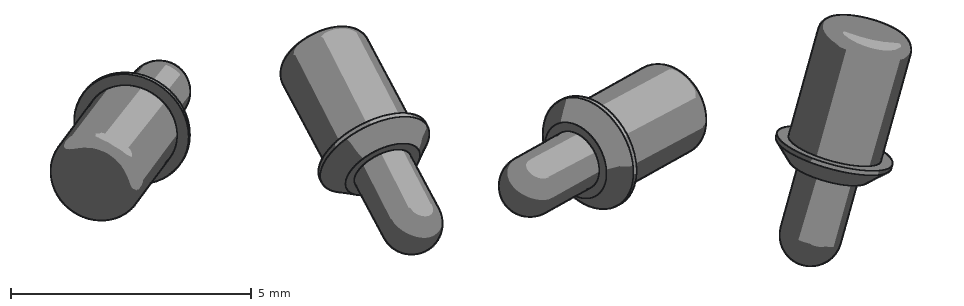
import cadquery as cq
import math

total_length = 5.3
body_radius = 1.0
body_length = 2.7
body_end_fillet = 0.3
flange_radius = 1.25
flange_rim_length = 0.1
flange_length = 0.5
plunger_radius = 0.65

flange_taper = flange_length - flange_rim_length
flange_top_radius = flange_radius - flange_taper

flange_start = body_length
rim_end = flange_start + flange_rim_length
flange_end = flange_start + flange_length
dome_start = total_length - plunger_radius

half_arc = math.sqrt(0.5)
fillet_center_radius = body_radius - body_end_fillet
fillet_middle = (
    fillet_center_radius + body_end_fillet * half_arc,
    body_end_fillet * (1 - half_arc),
)
dome_middle = (
    plunger_radius * half_arc,
    dome_start + plunger_radius * half_arc,
)

profile = (
    cq.Workplane("XY")
    .lineTo(fillet_center_radius, 0)
    .threePointArc(fillet_middle, (body_radius, body_end_fillet))
    .lineTo(body_radius, flange_start)
    .lineTo(flange_radius, flange_start)
    .lineTo(flange_radius, rim_end)
    .lineTo(flange_top_radius, flange_end)
    .lineTo(plunger_radius, flange_end)
    .lineTo(plunger_radius, dome_start)
    .threePointArc(dome_middle, (0, total_length))
    .close()
)

result = profile.revolve(360, (0, 0, 0), (0, 1, 0))